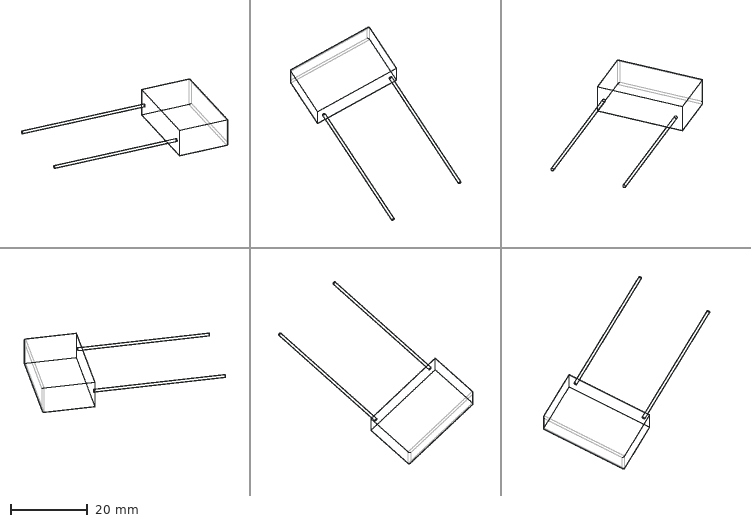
import cadquery as cq

TOTAL_LENGTH = 49.0
CASE_WIDTH = 24.0
CASE_DEPTH = 14.0
CASE_HEIGHT = 7.6
BACK_EDGE_RADIUS = 0.5

LEAD_DIAMETER = 0.8
LEAD_PITCH = 20.3
LEAD_LENGTH = TOTAL_LENGTH - CASE_DEPTH


def make_case():
    """Box-shaped case: front face on Y = 0, back face rounded along its four edges."""
    box = cq.Workplane("XY").box(CASE_WIDTH, CASE_DEPTH, CASE_HEIGHT, centered=(True, False, True))
    return box.faces(">Y").edges().fillet(BACK_EDGE_RADIUS)


def make_lead(x):
    """Straight round wire running from the front face of the case towards -Y."""
    return cq.Workplane("XZ").center(x, 0).circle(LEAD_DIAMETER / 2).extrude(LEAD_LENGTH)


case = make_case()
leads = [make_lead(side * LEAD_PITCH / 2) for side in (-1, 1)]

result = cq.Compound.makeCompound([case.val(), *[lead.val() for lead in leads]])